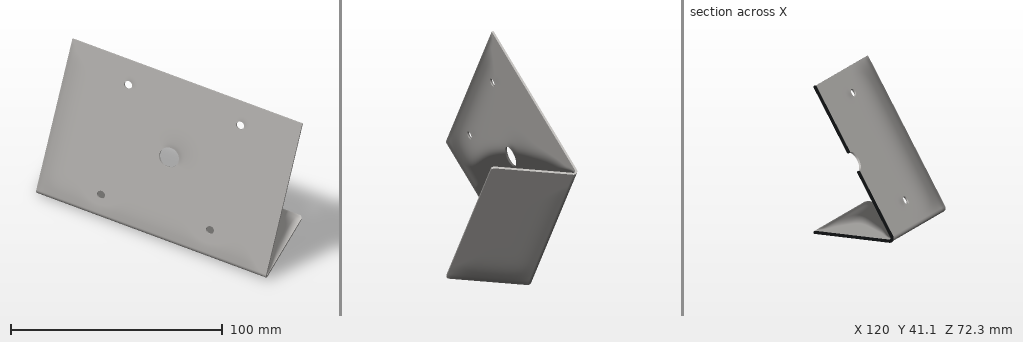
import cadquery as cq
import math

width = 120.0
thickness = 1.016
inner_bend_radius = 1.0
outer_bend_radius = inner_bend_radius + thickness
lean_angle = 60.0
panel_length = 80.0
base_depth = 41.15
base_corner_radius = 2.0

center_hole_diameter = 10.0
center_hole_position = (0.0, 39.7)
mounting_hole_diameter = 4.0
mounting_hole_positions = [
    (-27.95, 67.6),
    (30.4, 68.05),
    (-28.4, 9.3),
    (27.9, 11.7),
]

slope_y = math.cos(math.radians(lean_angle))
slope_z = math.sin(math.radians(lean_angle))


def bend_point(radius, y_direction, z_direction):
    """Point (y, z) on a circle about the bend axis, in a unit direction."""
    return (
        outer_bend_radius + radius * y_direction,
        outer_bend_radius + radius * z_direction,
    )


def up_slope(start, distance):
    """Point (y, z) reached by moving up the panel slope from start."""
    return (start[0] + distance * slope_y, start[1] + distance * slope_z)


outer_panel_start = bend_point(outer_bend_radius, -slope_z, slope_y)
inner_panel_start = bend_point(inner_bend_radius, -slope_z, slope_y)
inner_base_start = bend_point(inner_bend_radius, 0, -1)


def make_bent_sheet():
    down_angle = -90.0
    normal_angle = lean_angle + 90.0 - 360.0
    middle_angle = math.radians((down_angle + normal_angle) / 2)
    middle_y = math.cos(middle_angle)
    middle_z = math.sin(middle_angle)
    return (
        cq.Workplane("YZ")
        .moveTo(base_depth, 0)
        .lineTo(outer_bend_radius, 0)
        .threePointArc(bend_point(outer_bend_radius, middle_y, middle_z), outer_panel_start)
        .lineTo(*up_slope(outer_panel_start, panel_length))
        .lineTo(*up_slope(inner_panel_start, panel_length))
        .lineTo(*inner_panel_start)
        .threePointArc(bend_point(inner_bend_radius, middle_y, middle_z), inner_base_start)
        .lineTo(base_depth, thickness)
        .close()
        .extrude(width / 2, both=True)
    )


def round_base_corners(sheet):
    rear_corners = cq.selectors.BoxSelector(
        (-width, base_depth - thickness, -thickness),
        (width, base_depth + thickness, 2 * thickness),
    )
    return sheet.edges("|Z").edges(rear_corners).fillet(base_corner_radius)


def panel_hole_cutters(positions, diameter):
    """Cylinders through the panel, square to its outer face."""
    panel_face = cq.Plane(
        origin=(0, *outer_panel_start),
        xDir=(1, 0, 0),
        normal=(0, -slope_z, slope_y),
    )
    return (
        cq.Workplane(panel_face)
        .pushPoints(positions)
        .circle(diameter / 2)
        .extrude(2 * thickness, both=True)
    )


result = (
    round_base_corners(make_bent_sheet())
    .cut(panel_hole_cutters(mounting_hole_positions, mounting_hole_diameter))
    .cut(panel_hole_cutters([center_hole_position], center_hole_diameter))
)